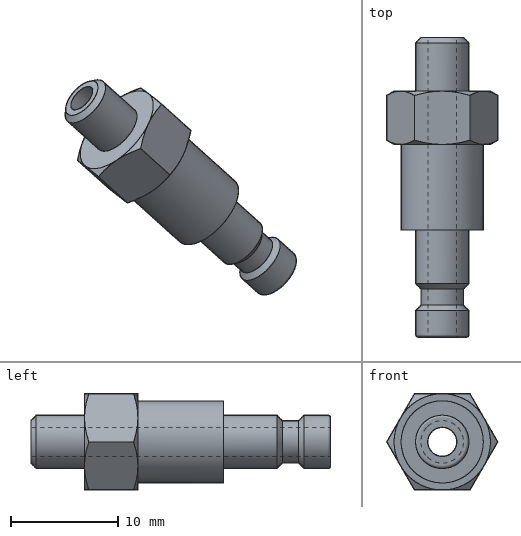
import cadquery as cq
import math

total_length = 28.0
stem_radius = 2.5
stem_chamfer = 0.5
groove_radius = stem_radius - stem_chamfer
bore_radius = 1.35
tip_fillet = 0.25

groove_start = 2.5
groove_end = 5.0
sleeve_start = 10.0
hex_start = 18.0
hex_end = 23.0

sleeve_radius = 3.85
hex_across_flats = 9.0
hex_across_corners = hex_across_flats / math.cos(math.radians(30))
hex_chamfer_angle = 30.0


def make_stem():
    """Turned stem and sleeve: tip with a groove, sleeve, chamfered rear spigot."""
    tip_face_radius = stem_radius - tip_fillet
    arc_offset = tip_fillet * math.sqrt(0.5)
    return (
        cq.Workplane("XY")
        .moveTo(0, 0)
        .lineTo(tip_face_radius, 0)
        .threePointArc(
            (tip_face_radius + arc_offset, tip_fillet - arc_offset),
            (stem_radius, tip_fillet),
        )
        .lineTo(stem_radius, groove_start)
        .lineTo(groove_radius, groove_start + stem_chamfer)
        .lineTo(groove_radius, groove_end - stem_chamfer)
        .lineTo(stem_radius, groove_end)
        .lineTo(stem_radius, sleeve_start)
        .lineTo(sleeve_radius, sleeve_start)
        .lineTo(sleeve_radius, hex_start)
        .lineTo(stem_radius, hex_start)
        .lineTo(stem_radius, total_length - stem_chamfer)
        .lineTo(stem_radius - stem_chamfer, total_length)
        .lineTo(0, total_length)
        .close()
        .revolve(360, (0, 0), (0, 1))
    )


def make_hexagon():
    """Hexagon with corners on the X axis, its corners turned to a cone at both ends."""
    prism = (
        cq.Workplane("XZ", origin=(0, hex_start, 0))
        .polygon(6, hex_across_corners)
        .extrude(hex_start - hex_end)
    )
    face_radius = hex_across_flats / 2
    corner_radius = hex_across_corners / 2
    cone_depth = (corner_radius - face_radius) * math.tan(math.radians(hex_chamfer_angle))
    envelope = (
        cq.Workplane("XY")
        .moveTo(0, hex_start)
        .lineTo(face_radius, hex_start)
        .lineTo(corner_radius, hex_start + cone_depth)
        .lineTo(corner_radius, hex_end - cone_depth)
        .lineTo(face_radius, hex_end)
        .lineTo(0, hex_end)
        .close()
        .revolve(360, (0, 0), (0, 1))
    )
    return prism.intersect(envelope)


def make_bore():
    """Straight bore through the full length."""
    return cq.Workplane("XZ").circle(bore_radius).extrude(-total_length)


result = make_stem().union(make_hexagon()).cut(make_bore())